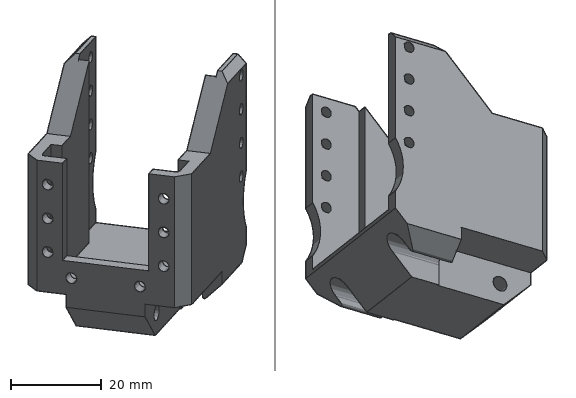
import cadquery as cq
import math

width = 38.0
depth = 41.0
height = 55.0
half_width = width / 2

thin_wall = 3.0
thick_wall = 5.5
floor_top = 11.0
shoulder_top = 41.0
wing_top_length = 11.0
wing_edge_chamfer = 2.0
front_edge_chamfer = 3.0

opening_width = 20.0
opening_bottom = 18.0
slot_back = 10.0
slot_corner_radius = 1.0
recess_length = 12.0

front_bottom_chamfer = 7.0
rear_bottom_chamfer = 10.0
side_bottom_chamfer_top = 7.0
step_height = 10.0
step_length = 24.0
nose_width = 18.35
rail_offset = 12.0
rail_axis_height = 5.0
rail_diameter = 5.0
rail_tip_radius = 0.45

screw_diameter = 2.5
screw_pitch = 8.0
front_screw_x = 13.5
front_screw_bottom = 19.5
front_screw_count = 3
lip_screw_x = 8.0
lip_screw_height = 14.0
side_screw_inset = 3.5
side_screw_bottom = 27.5
side_screw_count = 4
pivot_diameter = 3.5
pivot_y = 8.0
pivot_height = 5.0

scallop_height = 21.0
scallop_half_chord = 6.65
scallop_depth = 2.05

inner_half_width = half_width - thick_wall
recess_half_width = half_width - thin_wall


def box(x_range, y_range, z_range):
    """Axis-aligned block spanning the given (low, high) ranges."""
    size = [high - low for low, high in (x_range, y_range, z_range)]
    corner = (x_range[0], y_range[0], z_range[0])
    return cq.Workplane("XY").box(*size, centered=False).translate(corner)


def mirrored(shape):
    """The shape together with its mirror image across the YZ plane."""
    return shape.union(shape.mirror("YZ"))


def cylinder_along_x(y, z, diameter):
    """Cylinder running through the full width."""
    return cq.Workplane("YZ").center(y, z).circle(diameter / 2).extrude(half_width, both=True)


def front_hole(x, z):
    """Screw hole through the front plate only."""
    start = cq.Plane(origin=(x, 0, z), xDir=(1, 0, 0), normal=(0, 1, 0))
    return cq.Workplane(start).circle(screw_diameter / 2).extrude(thin_wall)


def side_profile_body():
    """Solid with the side outline: wings, shoulder, scallop and bottom chamfers."""
    wing_start = depth - wing_top_length
    wing_foot = wing_start - (height - shoulder_top)
    return (
        cq.Workplane("YZ")
        .moveTo(front_bottom_chamfer, 0)
        .lineTo(depth - rear_bottom_chamfer, 0)
        .lineTo(depth, rear_bottom_chamfer)
        .lineTo(depth, scallop_height - scallop_half_chord)
        .threePointArc(
            (depth - scallop_depth, scallop_height),
            (depth, scallop_height + scallop_half_chord),
        )
        .lineTo(depth, height)
        .lineTo(wing_start, height)
        .lineTo(wing_foot, shoulder_top)
        .lineTo(0, shoulder_top)
        .lineTo(0, front_bottom_chamfer)
        .close()
        .extrude(half_width, both=True)
    )


def end_profile_envelope():
    """Full-length solid with the end outline: wing edge chamfers, rail arms and central nose."""
    rail_radius = rail_diameter / 2
    rail_outer = rail_offset + rail_radius
    rail_inner = rail_offset - rail_radius
    sharp_tip_height = side_bottom_chamfer_top - (half_width - rail_outer)
    tip_centre_x = rail_outer + rail_tip_radius
    tip_centre_z = sharp_tip_height + rail_tip_radius * (1 + math.sqrt(2))
    slope_tangent = rail_tip_radius / math.sqrt(2)
    half = (
        cq.Workplane("XZ")
        .moveTo(0, 0)
        .lineTo(rail_inner, 0)
        .lineTo(rail_inner, rail_axis_height)
        .threePointArc(
            (rail_offset, rail_axis_height + rail_radius),
            (rail_outer, rail_axis_height),
        )
        .lineTo(rail_outer, tip_centre_z)
        .threePointArc(
            (tip_centre_x, tip_centre_z - rail_tip_radius),
            (tip_centre_x + slope_tangent, tip_centre_z - slope_tangent),
        )
        .lineTo(half_width, side_bottom_chamfer_top)
        .lineTo(half_width, height - wing_edge_chamfer)
        .lineTo(half_width - wing_edge_chamfer, height)
        .lineTo(0, height)
        .close()
        .extrude(-depth)
    )
    return mirrored(half)


def front_edge_cut():
    """Wedges that bevel the two vertical front corners."""
    wedge = (
        cq.Workplane("XY")
        .moveTo(half_width, 0)
        .lineTo(half_width - front_edge_chamfer, 0)
        .lineTo(half_width, front_edge_chamfer)
        .close()
        .extrude(height)
    )
    return mirrored(wedge)


def cavity():
    """Open interior: main channel, plate slot, rear recess and front opening."""
    z_range = (floor_top, height)
    channel = box((-inner_half_width, inner_half_width), (slot_back, depth), z_range)
    slot = box((-recess_half_width, recess_half_width), (thin_wall, slot_back), z_range)
    slot = slot.edges("|Z and <Y").fillet(slot_corner_radius)
    recess = box((-recess_half_width, recess_half_width), (depth - recess_length, depth), z_range)
    opening = box((-opening_width / 2, opening_width / 2), (0, slot_back), (opening_bottom, height))
    return channel.union(slot).union(recess).union(opening)


def front_step_cut():
    """Side clearances that leave only the central nose under the front of the body."""
    return mirrored(box((nose_width / 2, half_width), (0, step_length), (0, step_height)))


result = side_profile_body().intersect(end_profile_envelope())
result = result.cut(front_edge_cut()).cut(cavity()).cut(front_step_cut())

for side in (-1, 1):
    result = result.cut(front_hole(side * lip_screw_x, lip_screw_height))
    for row in range(front_screw_count):
        result = result.cut(front_hole(side * front_screw_x, front_screw_bottom + row * screw_pitch))

for row in range(side_screw_count):
    screw_height = side_screw_bottom + row * screw_pitch
    result = result.cut(cylinder_along_x(depth - side_screw_inset, screw_height, screw_diameter))

result = result.cut(cylinder_along_x(pivot_y, pivot_height, pivot_diameter))